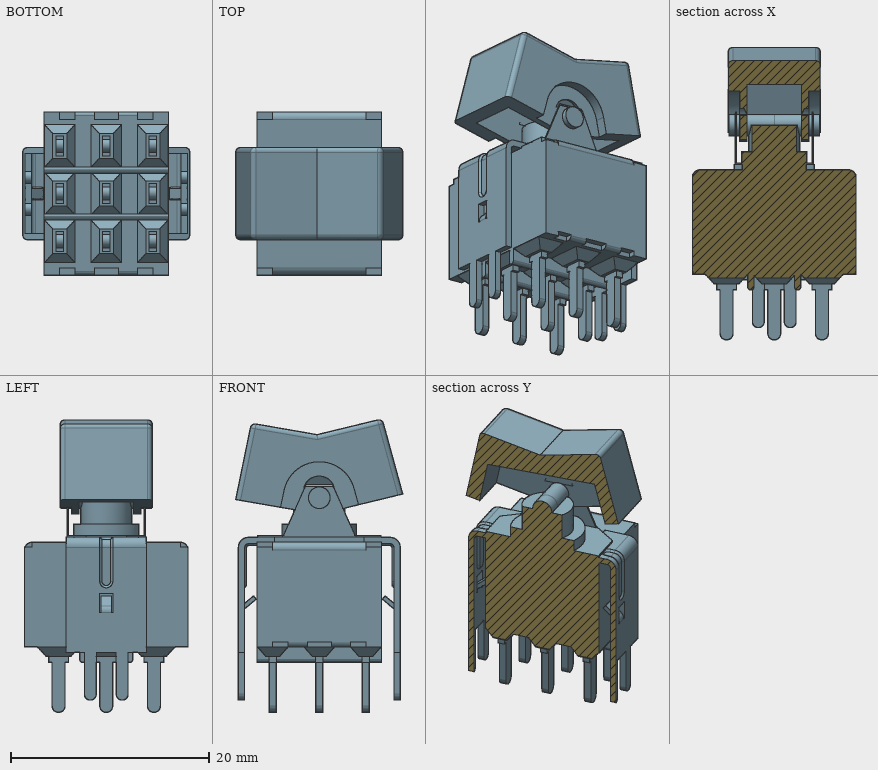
import cadquery as cq
import math

leg_tip_z = 1.25
rail_bottom_z = 5.05
standoff_bottom_z = 5.67
leg_bottom_z = 6.05
body_bottom_z = 6.62
body_top_z = 17.2
bracket_top_z = 17.7
plate_top_z = 17.87
collar_top_z = 19.02
pivot_z = 21.68

body_x = 12.58
body_y = 16.5
panel_x = 9.42
panel_radius = 0.77
fillet_margin = 0.003
corner_step = 0.5
foot_center_x = 2.2
foot_x = 1.95
foot_radius = 0.38

rail_outer_y = 2.7
rail_width = 0.65
rail_round = 0.3
pin_pitch_x = 4.7
pin_pitch_y = 4.82
pin_x = 0.75
pin_y = 1.33
shoulder_y = 2.0
standoff_top = (3.07, 4.28)
standoff_bottom = (1.42, 2.5)

bracket_half_x = 8.18
bracket_y = 8.1
sheet = 0.65
bend_radius = 1.03
waist_half_x = 4.52
waist_y = 6.5
leg_tip_y = 1.2
leg_tip_pitch = 3.22
rib_y = 1.33
rib_crest_y = 0.85
rib_depth = 0.2
rib_end_z = 12.58
rib_inner_x = 6.68
window_y = 1.33
window_bottom_z = 10.1
window_top_z = 12.0
tongue_y = 1.05
tongue_thickness = 0.45
tongue_bend_z = 10.5
tongue_reach = 1.55
tongue_angle = 40.0

plate_half_x = 6.23
plate_end_half_y = 2.07
ear_sheet = 0.162
ear_outer_y = 4.0
ear_base_half_x = 3.7
ear_top_half_x = 1.33
ear_top_z = 23.0
ear_bevel = (0.2, 0.1)

collar_diameter = 7.55
collar_y = 6.6
bushing_diameter = 5.2
pivot_diameter = 2.2
pivot_half_length = 4.58

rocker_tilt = 1.9
rocker_y = 9.33
rocker_bottom_half_x = 8.45
rocker_bottom_corner_z = 0.1
rocker_slope = 11.75
rocker_end_lean = 13.45
rocker_valley_z = 6.38
rocker_fillet = 0.5
cavity_y = 5.5
end_wall = 1.57
cavity_top_z = 4.15
recess_radius = 3.63
recess_floor_y = 3.5
ramp_diameter = 3.2
ramp_center_z = 0.6
ramp_bottom_z = 1.03
ramp_top_z = 2.6

SIDES = (-1, 1)


def block(x_size, y_size, z_low, z_high, x=0, y=0):
    """Upright box centred on (x, y) between two heights."""
    box = cq.Workplane("XY").box(x_size, y_size, z_high - z_low, centered=(True, True, False))
    return box.translate((x, y, z_low))


def extrude_y(outline, width, y=0):
    """Extrude an XZ outline symmetrically about the given Y."""
    return outline.extrude(width / 2, both=True).translate((0, y, 0))


def both_ends(shape, plane):
    """Join a shape with its mirror image."""
    return shape.union(shape.mirror(plane))


def rounded_blade(thickness, width, z_tip, z_top, x, y):
    """Flat pin with a half-round tip, its thickness along X."""
    radius = width / 2
    outline = (
        cq.Workplane("YZ")
        .moveTo(-radius, z_top)
        .lineTo(-radius, z_tip + radius)
        .threePointArc((0, z_tip), (radius, z_tip + radius))
        .lineTo(radius, z_top)
        .close()
    )
    return outline.extrude(thickness / 2, both=True).translate((x, y, 0))


def make_body():
    body = block(body_x, body_y, body_bottom_z, body_top_z)
    strip_x = (body_x - panel_x) / 2
    step_z = body_top_z - corner_step
    foot_top_z = body_bottom_z + corner_step
    for side in SIDES:
        edge_y = side * (body_y - panel_radius) / 2
        for end in SIDES:
            corner_x = end * (panel_x + strip_x) / 2
            body = body.cut(block(strip_x, panel_radius, step_z, body_top_z, corner_x, edge_y))
        body = body.cut(block(panel_x, panel_radius, body_bottom_z, foot_top_z, 0, edge_y))
        round_zone = block(panel_x, panel_radius, body_top_z - panel_radius, body_top_z, 0, edge_y)
        edge = "<Y" if side < 0 else ">Y"
        body = body.cut(round_zone)
        body = body.union(round_zone.edges(">Z and " + edge).fillet(panel_radius - fillet_margin))
        for end in SIDES:
            foot = block(foot_x, panel_radius, body_bottom_z, foot_top_z, end * foot_center_x, edge_y)
            body = body.union(foot.edges("<Z and " + edge).fillet(foot_radius))
    return body


def make_rails():
    rail = block(body_x, rail_width, rail_bottom_z, body_bottom_z, 0, rail_outer_y - rail_width / 2)
    return both_ends(rail.edges("|X and <Z").fillet(rail_round), "XZ")


def make_pin(x, y):
    standoff = (
        cq.Workplane("XY", origin=(x, y, body_bottom_z))
        .rect(*standoff_top)
        .workplane(offset=standoff_bottom_z - body_bottom_z)
        .rect(*standoff_bottom)
        .loft()
    )
    shoulder = block(pin_x, shoulder_y, rail_bottom_z, body_bottom_z, x, y)
    blade = rounded_blade(pin_x, pin_y, 0, body_bottom_z, x, y)
    return standoff.union(shoulder).union(blade)


def rib_solid(offset):
    """Tapered rib around the right-hand bend, its wide face set in from the outer skin by offset."""
    skin_x = bracket_half_x - offset
    skin_z = bracket_top_z - offset
    radius = bend_radius - offset
    center_x = bracket_half_x - bend_radius
    center_z = bracket_top_z - bend_radius
    end_center_z = rib_end_z + rib_y / 2
    diagonal = radius * math.sqrt(0.5)
    path = (
        cq.Workplane("XZ")
        .moveTo(skin_x, end_center_z)
        .lineTo(skin_x, center_z)
        .threePointArc((center_x + diagonal, center_z + diagonal), (center_x, skin_z))
        .lineTo(rib_inner_x, skin_z)
    )
    section = (
        cq.Workplane("XY", origin=(skin_x, 0, end_center_z))
        .polyline([
            (0, -rib_y / 2),
            (0, rib_y / 2),
            (-rib_depth, rib_crest_y / 2),
            (-rib_depth, -rib_crest_y / 2),
        ])
        .close()
    )
    rib = section.sweep(path)
    ends = (
        (cq.Vector(skin_x, 0, end_center_z), cq.Vector(-1, 0, 0)),
        (cq.Vector(rib_inner_x, 0, skin_z), cq.Vector(0, 0, -1)),
    )
    for center, inward in ends:
        cone = cq.Solid.makeCone(rib_y / 2, rib_crest_y / 2, rib_depth, center, inward)
        rib = rib.union(cq.Workplane(cone))
    return rib


def make_tongue():
    """Tongue lanced from the right-hand leg and bent inwards, up towards the body."""
    angle = math.radians(tongue_angle)
    inner_x = bracket_half_x - sheet
    outer_tip = (
        bracket_half_x - tongue_reach,
        tongue_bend_z + tongue_reach * math.tan(angle),
    )
    inner_tip = (
        outer_tip[0] - tongue_thickness * math.sin(angle),
        outer_tip[1] - tongue_thickness * math.cos(angle),
    )
    inner_bend_z = inner_tip[1] - (inner_x - inner_tip[0]) * math.tan(angle)
    bend_length = tongue_bend_z - window_bottom_z
    bend_end = (
        bracket_half_x - bend_length * math.cos(angle),
        tongue_bend_z + bend_length * math.sin(angle),
    )
    root_z = window_bottom_z - bend_length
    outline = (
        cq.Workplane("XZ")
        .moveTo(inner_x, root_z)
        .lineTo(bracket_half_x, root_z)
        .lineTo(bracket_half_x, window_bottom_z)
        .tangentArcPoint(bend_end, relative=False)
        .lineTo(*outer_tip)
        .lineTo(*inner_tip)
        .lineTo(inner_x, inner_bend_z)
        .close()
    )
    return extrude_y(outline, tongue_y)


def make_half_bracket():
    """Right-hand half of the bent sheet bracket."""
    leg_x = bracket_half_x - sheet / 2
    bracket = block(bracket_half_x, bracket_y, leg_bottom_z, bracket_top_z, bracket_half_x / 2)
    bracket = bracket.edges("|Y and >X and >Z").fillet(bend_radius)
    inside_x = bracket_half_x - sheet
    inside = block(inside_x, bracket_y, leg_bottom_z, bracket_top_z - sheet, inside_x / 2)
    bracket = bracket.cut(inside.edges("|Y and >X and >Z").fillet(bend_radius - sheet))
    notch_y = (bracket_y - waist_y) / 2
    for side in SIDES:
        notch_center_y = side * (waist_y + notch_y) / 2
        notch = block(waist_half_x, notch_y, leg_bottom_z, bracket_top_z, waist_half_x / 2, notch_center_y)
        bracket = bracket.cut(notch)
        tip_y = side * leg_tip_pitch / 2
        bracket = bracket.union(rounded_blade(sheet, leg_tip_y, leg_tip_z, leg_bottom_z, leg_x, tip_y))
    bracket = bracket.cut(block(sheet, window_y, window_bottom_z, window_top_z, leg_x))
    bracket = bracket.union(make_tongue())
    return bracket.union(rib_solid(sheet)).cut(rib_solid(0))


def make_ear_plate():
    plate = (
        cq.Workplane("XY", origin=(0, 0, bracket_top_z))
        .polyline([
            (plate_half_x, -plate_end_half_y),
            (plate_half_x, plate_end_half_y),
            (ear_base_half_x, ear_outer_y),
            (-ear_base_half_x, ear_outer_y),
            (-plate_half_x, plate_end_half_y),
            (-plate_half_x, -plate_end_half_y),
            (-ear_base_half_x, -ear_outer_y),
            (ear_base_half_x, -ear_outer_y),
        ])
        .close()
        .extrude(plate_top_z - bracket_top_z)
    )
    outline = cq.Workplane("XZ").polyline([
        (-ear_base_half_x, bracket_top_z),
        (ear_base_half_x, bracket_top_z),
        (ear_top_half_x, ear_top_z),
        (-ear_top_half_x, ear_top_z),
    ]).close()
    ear = extrude_y(outline, ear_sheet, ear_outer_y - ear_sheet / 2)
    bevel_z, bevel_y = ear_bevel
    bevel = (
        cq.Workplane("YZ")
        .polyline([
            (ear_outer_y, ear_top_z - bevel_z),
            (ear_outer_y, ear_top_z),
            (ear_outer_y - bevel_y, ear_top_z),
        ])
        .close()
        .extrude(ear_base_half_x, both=True)
    )
    return plate.union(both_ends(ear.cut(bevel), "XZ"))


def make_bushing():
    base = cq.Workplane("XY", origin=(0, 0, bracket_top_z))
    collar = base.circle(collar_diameter / 2).extrude(collar_top_z - bracket_top_z)
    collar = collar.intersect(block(collar_diameter, collar_y, bracket_top_z, collar_top_z))
    neck = base.circle(bushing_diameter / 2).extrude(pivot_z - bracket_top_z)
    pivot_outline = cq.Workplane("XZ", origin=(0, 0, pivot_z)).circle(pivot_diameter / 2)
    pivot = extrude_y(pivot_outline, 2 * pivot_half_length)
    return collar.union(neck).union(pivot)


def rocker_recess():
    """Arched side recess for an ear, with flanks that spread downwards like the rocker ends."""
    lean = math.radians(rocker_end_lean)
    tangent_x = recess_radius * math.cos(lean)
    tangent_z = recess_radius * math.sin(lean)
    foot_half_x = tangent_x + (tangent_z + recess_radius) * math.tan(lean)
    outline = (
        cq.Workplane("XZ")
        .moveTo(-foot_half_x, -recess_radius)
        .lineTo(-tangent_x, tangent_z)
        .threePointArc((0, recess_radius), (tangent_x, tangent_z))
        .lineTo(foot_half_x, -recess_radius)
        .close()
    )
    recess_depth = rocker_y / 2 - recess_floor_y
    recess = extrude_y(outline, recess_depth, recess_floor_y + recess_depth / 2)
    return both_ends(recess, "XZ")


def rocker_ramps():
    """Arched ramps in the recess floors, deepening towards the pivot."""
    wedge = (
        cq.Workplane("YZ")
        .polyline([
            (recess_floor_y, ramp_top_z),
            (recess_floor_y, ramp_bottom_z),
            (cavity_y / 2, ramp_bottom_z),
        ])
        .close()
        .extrude(ramp_diameter, both=True)
    )
    arch = cq.Workplane("XZ", origin=(0, 0, ramp_center_z)).circle(ramp_diameter / 2)
    return both_ends(wedge.intersect(extrude_y(arch, rocker_y)), "XZ")


def make_rocker():
    slope = math.tan(math.radians(rocker_slope))
    lean = math.tan(math.radians(rocker_end_lean))
    bottom_valley_z = rocker_bottom_corner_z - slope * rocker_bottom_half_x
    end_rise = (rocker_valley_z - bottom_valley_z) / (1 + slope * lean)
    top_half_x = rocker_bottom_half_x - lean * end_rise
    top_corner_z = rocker_bottom_corner_z + end_rise
    outline = cq.Workplane("XZ").polyline([
        (-rocker_bottom_half_x, rocker_bottom_corner_z),
        (0, bottom_valley_z),
        (rocker_bottom_half_x, rocker_bottom_corner_z),
        (top_half_x, top_corner_z),
        (0, rocker_valley_z),
        (-top_half_x, top_corner_z),
    ]).close()
    rocker = extrude_y(outline, rocker_y)
    pick_margin = 0.3
    below = cq.selectors.BoxSelector(
        (-2 * rocker_bottom_half_x, -rocker_y, -rocker_valley_z),
        (2 * rocker_bottom_half_x, rocker_y, rocker_bottom_corner_z + pick_margin),
    )
    valley = cq.selectors.BoxSelector(
        (-pick_margin, -pick_margin, rocker_valley_z - pick_margin),
        (pick_margin, pick_margin, rocker_valley_z + pick_margin),
    )
    rocker = rocker.edges(cq.selectors.InverseSelector(below + valley)).fillet(rocker_fillet)

    mouth_half_x = rocker_bottom_half_x - end_wall
    mouth_z = bottom_valley_z
    mouth_edge_x = mouth_half_x - lean * mouth_z
    ceiling_half_x = mouth_half_x - lean * cavity_top_z
    cavity_outline = cq.Workplane("XZ").polyline([
        (-mouth_edge_x, mouth_z),
        (mouth_edge_x, mouth_z),
        (ceiling_half_x, cavity_top_z),
        (-ceiling_half_x, cavity_top_z),
    ]).close()
    rocker = rocker.cut(extrude_y(cavity_outline, cavity_y)).cut(rocker_recess()).cut(rocker_ramps())
    return rocker.rotate((0, 0, 0), (0, 1, 0), -rocker_tilt).translate((0, 0, pivot_z))


result = make_body().union(make_rails())
for column in (-1, 0, 1):
    for row in (-1, 0, 1):
        result = result.union(make_pin(column * pin_pitch_x, row * pin_pitch_y))
result = result.union(both_ends(make_half_bracket(), "YZ"))
result = result.union(make_ear_plate()).union(make_bushing()).union(make_rocker())